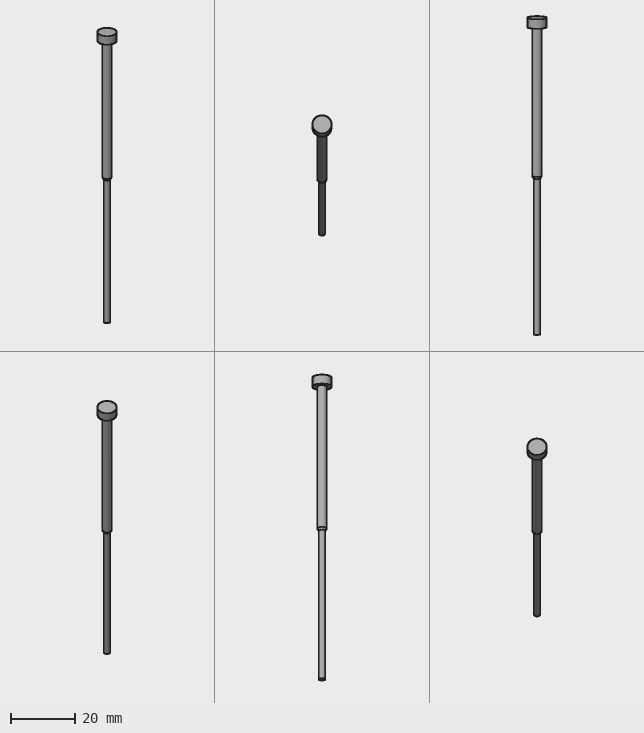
import cadquery as cq
import math

overall_length = 100.0
head_diameter = 6.0
head_height = 3.0
shank_diameter = 3.0
shank_end_depth = 50.0
tip_diameter = 2.1
taper_half_angle = 30.0

head_radius = head_diameter / 2
shank_radius = shank_diameter / 2
tip_radius = tip_diameter / 2
head_bottom = overall_length - head_height
shank_bottom = overall_length - shank_end_depth
taper_length = (shank_radius - tip_radius) / math.tan(math.radians(taper_half_angle))
tip_top = shank_bottom - taper_length


def stepped_pin():
    """Headed pin with a short cone between the shank and the thinner tip."""
    half_profile = (
        cq.Workplane("XZ")
        .moveTo(0, 0)
        .lineTo(-tip_radius, 0)
        .lineTo(-tip_radius, tip_top)
        .lineTo(-shank_radius, shank_bottom)
        .lineTo(-shank_radius, head_bottom)
        .lineTo(-head_radius, head_bottom)
        .lineTo(-head_radius, overall_length)
        .lineTo(0, overall_length)
        .close()
    )
    return half_profile.revolve(360, (0, 0, 0), (0, 1, 0))


result = stepped_pin()